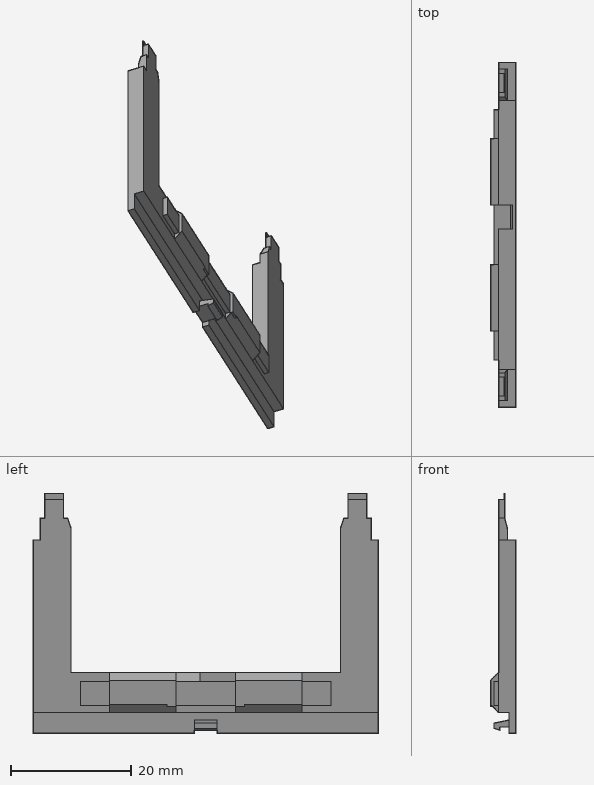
import cadquery as cq


frame_length = 57.5
frame_depth = 2.9
leg_inner_y = 22.4
bar_top = 10.2
leg_top = 32.25
lip_height = 3.45
lip_thickness = 1.15

tongue_outer_y = 27.6
tongue_shoulder = 35.9
tongue_depth = 1.5
tongue_taper_start = 34.15
shoulder_inner_y = 23.0
tip_outer_y = 26.85
tip_inner_y = 23.7
tip_depth = 1.05
tip_top = 39.0
blade_top = 40.0
blade_thickness = 0.2

pad_half_length = 20.9
pad_height = 0.8
pad_bottom = 4.65
pad_top = 8.6
bump_inner_y = 4.95
bump_outer_y = 16.05
bump_height = 1.3
bump_flat_bottom = 4.85
bump_flat_top = 8.85
bump_ledge_bottom = 4.5
bump_ledge_end_y = 6.45

pocket_end_y = 1.0
pocket_top_depth = 2.35
pocket_floor_depth = 1.95

hook_width = 3.8
hook_root_top = 2.25
hook_tip_top = 1.7
hook_tip_bottom = 0.85
hook_root_bottom = 1.05
barb_bottom = 0.5
barb_x = 0.25
hook_tip_x = -pad_height


def box(x0, x1, y0, y1, z0, z1):
    """Box between opposite corner coordinates."""
    return cq.Workplane("XY").box(x1 - x0, y1 - y0, z1 - z0, centered=False).translate((x0, y0, z0))


def extrude_along_y(profile, y0, y1):
    """Extrude a closed XZ profile from y0 to y1."""
    return cq.Workplane("XZ", origin=(0, y0, 0)).polyline(profile).close().extrude(y0 - y1)


def make_frame():
    half = frame_length / 2
    frame = box(0, frame_depth, -half, half, 0, leg_top)
    opening = box(0, frame_depth, -leg_inner_y, leg_inner_y, bar_top, leg_top)
    lip_relief = box(0, frame_depth - lip_thickness, -half, half, 0, lip_height)
    return frame.cut(opening).cut(lip_relief)


def make_tongue():
    """Tongue on the +Y leg: outline across the leg, trimmed to its tapered side profile."""
    outline = [
        (leg_inner_y, leg_top),
        (tongue_outer_y, leg_top),
        (tongue_outer_y, tongue_shoulder),
        (tip_outer_y, tongue_shoulder),
        (tip_outer_y, blade_top),
        (tip_inner_y, blade_top),
        (tip_inner_y, tongue_shoulder),
        (shoulder_inner_y, tongue_shoulder),
        (leg_inner_y, tongue_taper_start),
    ]
    side_profile = [
        (0, leg_top),
        (tongue_depth, leg_top),
        (tongue_depth, tongue_taper_start),
        (tip_depth, tongue_shoulder),
        (tip_depth, blade_top),
        (tip_depth - blade_thickness, blade_top),
        (tip_depth - blade_thickness, tip_top),
        (0, tip_top),
    ]
    blank = cq.Workplane("YZ").polyline(outline).close().extrude(tongue_depth)
    return blank.intersect(extrude_along_y(side_profile, leg_inner_y, tongue_outer_y))


def make_bump():
    """Bevelled bump on the +Y half of the bar, with a square ledge below its inner end."""
    profile = [
        (0, lip_height),
        (-bump_height, bump_flat_bottom),
        (-bump_height, bump_flat_top),
        (0, bar_top),
    ]
    bump = extrude_along_y(profile, bump_inner_y, bump_outer_y)
    ledge = box(-bump_height, 0, bump_inner_y, bump_ledge_end_y, bump_ledge_bottom, bump_flat_top)
    return bump.union(ledge)


def make_pocket():
    """Pocket open to the top and front, with a sloping back wall."""
    profile = [
        (0, pad_top),
        (pocket_floor_depth, pad_top),
        (pocket_top_depth, bar_top),
        (0, bar_top),
    ]
    return extrude_along_y(profile, pocket_end_y, bump_inner_y)


def make_hook():
    root_x = frame_depth - lip_thickness
    profile = [
        (root_x, hook_root_top),
        (hook_tip_x, hook_tip_top),
        (hook_tip_x, hook_tip_bottom),
        (barb_x, barb_bottom),
        (barb_x, hook_root_bottom),
        (root_x, hook_root_bottom),
    ]
    return extrude_along_y(profile, -hook_width / 2, hook_width / 2)


def make_notch():
    half = hook_width / 2
    return box(frame_depth - lip_thickness, frame_depth, -half, half, 0, hook_root_bottom)


result = make_frame().cut(make_pocket()).cut(make_notch())
for feature in (make_tongue(), make_bump()):
    result = result.union(feature).union(feature.mirror("XZ"))
result = result.union(box(-pad_height, 0, -pad_half_length, pad_half_length, pad_bottom, pad_top))
result = result.union(make_hook())